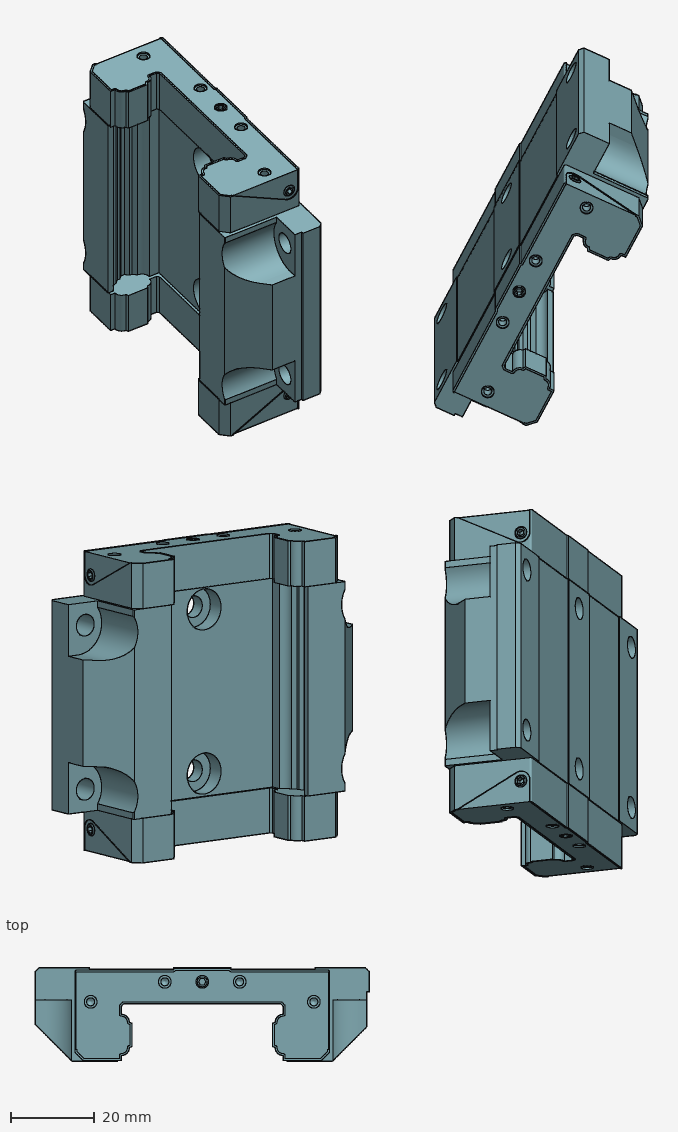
import cadquery as cq
import math

width = 80.0
thickness = 22.5
carriage_length = 51.0
total_length = 73.0

half_width = width / 2
back = thickness / 2
front = -thickness / 2
carriage_end = carriage_length / 2
cap_end = total_length / 2

flank_x = 31.1
right_relief = 0.6
reference_edge_y = 5.4
back_chamfer = 1.0
channel_half_width = 20.2
channel_floor_y = 3.3
back_recess_depth = 0.28
back_recess_inner = 6.9
back_recess_outer = 27.0

raceway_mid_y = -4.6
raceway_radius = 2.1
raceway_opening = 5.1
raceway_slope = 1.0
groove_half_height = 1.4
groove_depth = 0.9

hole_diameter = 5.3
hole_pitch_x = 70.0
hole_pitch_z = 40.0
counterbore_diameter = 10.0
counterbore_depth = 4.4
pocket_floor_y = 3.5
pocket_radius = 7.0
pocket_center_x = 37.2
pocket_wall_x = 31.4

cap_half_width = 30.5
cap_back = 10.7
cap_front = -11.0
cap_foot_chamfer = 2.0
cap_back_fillet = 0.6
ridge_half_width = 6.6
ridge_height = 0.28
cap_floor_y = 2.6
cap_slot_half_width = 19.4
cap_slot_chamfer = 0.6
nose_mid_y = -4.9
nose_radius = 1.9
nose_half_height = 5.0
lip_half_height = 2.8
lip_height = 0.6
face_margin = 0.5
face_depth = 0.1

panel_depth = 0.2
panel_radius = 2.4
panel_tip_y = -8.4

screw_holes = [(-26.7, 3.0), (-9.0, 7.8), (9.0, 7.8), (26.7, 3.0)]
screw_head_diameter = 3.0
screw_head_depth = 0.4
screw_hole_diameter = 1.9
screw_hole_depth = 3.2
drill_point_angle = 118.0

port_y = 7.8
plug_diameter = 3.0
plug_length = 4.0
plug_chamfer = 0.3
socket_across_flats = 1.5
socket_depth = 1.6

port_z = (carriage_end + cap_end) / 2
face_z = cap_end - face_depth


def raceway_half_profile():
    """Section of the recess in the +X channel wall: two quarter-round raceways and a middle groove."""
    wall = channel_half_width
    throat = wall + raceway_radius
    bridge = throat + raceway_slope
    deepest = bridge + groove_depth
    diagonal = raceway_radius * math.sqrt(0.5)
    center = raceway_opening - raceway_radius
    slope_end = center - raceway_slope
    bottom = groove_half_height - groove_depth
    middle = raceway_mid_y
    return (
        cq.Workplane("XY")
        .moveTo(wall, middle + raceway_opening)
        .threePointArc((wall + diagonal, middle + center + diagonal), (throat, middle + center))
        .lineTo(bridge, middle + slope_end)
        .lineTo(bridge, middle + groove_half_height)
        .lineTo(deepest, middle + bottom)
        .lineTo(deepest, middle - bottom)
        .lineTo(bridge, middle - groove_half_height)
        .lineTo(bridge, middle - slope_end)
        .lineTo(throat, middle - center)
        .threePointArc((wall + diagonal, middle - center - diagonal), (wall, middle - raceway_opening))
        .close()
    )


def along_carriage(sketch):
    """Extrude a section drawn at Z = 0 over the whole carriage length."""
    return sketch.extrude(carriage_end, both=True)


def corner_pocket():
    """Cutter for the (+X, +Z) corner pocket, open to the front, side and end."""
    z = hole_pitch_z / 2
    rise = math.sqrt(pocket_radius**2 - (pocket_center_x - pocket_wall_x) ** 2)
    profile = (
        cq.Workplane("XZ", origin=(0, pocket_floor_y, 0))
        .moveTo(half_width, z - pocket_radius)
        .lineTo(pocket_center_x, z - pocket_radius)
        .threePointArc((pocket_center_x - pocket_radius, z), (pocket_wall_x, z + rise))
        .lineTo(pocket_wall_x, carriage_end)
        .lineTo(half_width, carriage_end)
        .close()
    )
    return profile.extrude(pocket_floor_y - front)


def make_carriage():
    """Flanged carriage with the rail channel, raceways and mounting holes."""
    flank_slope = half_width - flank_x
    right_x = half_width - right_relief
    section = (
        cq.Workplane("XY")
        .moveTo(-half_width, front + flank_slope)
        .lineTo(-flank_x, front)
        .lineTo(-channel_half_width, front)
        .lineTo(-channel_half_width, channel_floor_y)
        .lineTo(channel_half_width, channel_floor_y)
        .lineTo(channel_half_width, front)
        .lineTo(flank_x, front)
        .lineTo(right_x, front + flank_slope - right_relief)
        .lineTo(right_x, reference_edge_y)
        .lineTo(half_width, reference_edge_y)
        .lineTo(half_width, back - back_chamfer)
        .lineTo(half_width - back_chamfer, back)
        .lineTo(-half_width + back_chamfer, back)
        .lineTo(-half_width, back - back_chamfer)
        .close()
    )
    carriage = along_carriage(section)

    raceway = along_carriage(raceway_half_profile())
    carriage = carriage.cut(raceway).cut(raceway.mirror("YZ"))

    recess_width = back_recess_outer - back_recess_inner
    recess_x = (back_recess_outer + back_recess_inner) / 2
    recesses = along_carriage(
        cq.Workplane("XY")
        .pushPoints([(-recess_x, back), (recess_x, back)])
        .rect(recess_width, 2 * back_recess_depth)
    )
    carriage = carriage.cut(recesses)

    pocket = corner_pocket()
    for cutter in (pocket, pocket.mirror("YZ")):
        carriage = carriage.cut(cutter).cut(cutter.mirror("XY"))

    hole_points = [
        (column * hole_pitch_x / 2, row * hole_pitch_z / 2)
        for column in (-1, 0, 1)
        for row in (-1, 1)
    ]
    holes = (
        cq.Workplane("XZ", origin=(0, back, 0))
        .pushPoints(hole_points)
        .circle(hole_diameter / 2)
        .extrude(thickness)
    )
    counterbores = (
        cq.Workplane("XZ", origin=(0, channel_floor_y + counterbore_depth, 0))
        .pushPoints([(x, z) for x, z in hole_points if x == 0])
        .circle(counterbore_diameter / 2)
        .extrude(counterbore_depth)
    )
    return carriage.cut(holes).cut(counterbores)


def cap_half_body():
    """The +X half of the upper end cap, with a plain end."""
    slot = cap_slot_half_width
    nose = slot - nose_radius
    lip = nose - lip_height
    center = nose_half_height - nose_radius
    diagonal = nose_radius * math.sqrt(0.5)
    return (
        cq.Workplane("XY", origin=(0, 0, carriage_end))
        .moveTo(0, cap_floor_y)
        .lineTo(slot - cap_slot_chamfer, cap_floor_y)
        .lineTo(slot, cap_floor_y - cap_slot_chamfer)
        .lineTo(slot, nose_mid_y + nose_half_height)
        .threePointArc((slot - diagonal, nose_mid_y + center + diagonal), (nose, nose_mid_y + center))
        .lineTo(lip, nose_mid_y + lip_half_height)
        .lineTo(lip, nose_mid_y - lip_half_height)
        .lineTo(nose, nose_mid_y - center)
        .threePointArc(
            (slot - diagonal, nose_mid_y - center - diagonal),
            (slot, nose_mid_y - nose_half_height),
        )
        .lineTo(slot, cap_front)
        .lineTo(cap_half_width - cap_foot_chamfer, cap_front)
        .lineTo(cap_half_width, cap_front + cap_foot_chamfer)
        .lineTo(cap_half_width, cap_back)
        .lineTo(ridge_half_width + ridge_height, cap_back)
        .lineTo(ridge_half_width, cap_back + ridge_height)
        .lineTo(0, cap_back + ridge_height)
        .close()
        .extrude(cap_end - carriage_end)
        .edges("|Z")
        .edges(">X")
        .edges(">Y")
        .fillet(cap_back_fillet)
    )


def side_panel():
    """Cutter for the shallow panel around the +X port, widening towards the cap end."""
    tip_dy = panel_tip_y - port_y
    tip_dz = cap_end - port_z
    tip_distance = math.hypot(tip_dy, tip_dz)
    tangent_angle = math.atan2(tip_dz, tip_dy) + math.acos(panel_radius / tip_distance)
    mid_angle = (tangent_angle + 2 * math.pi) / 2

    def on_arc(angle):
        return (port_y + panel_radius * math.cos(angle), port_z + panel_radius * math.sin(angle))

    return (
        cq.Workplane("YZ", origin=(cap_half_width - panel_depth, 0, 0))
        .moveTo(panel_tip_y, cap_end)
        .lineTo(*on_arc(tangent_angle))
        .threePointArc(on_arc(mid_angle), on_arc(0))
        .lineTo(port_y + panel_radius, cap_end)
        .close()
        .extrude(panel_depth)
    )


def end_face_recess(cap):
    """Cutter that sinks the end face inside a rim and runs out into both side panels."""
    recess = cap.faces(">Z").wires().toPending().offset2D(-face_margin).extrude(-face_depth, combine=False)
    panel_top = port_y + panel_radius
    strip_x = cap_half_width - face_margin / 2
    runouts = (
        cq.Workplane("XY", origin=(0, (panel_tip_y + panel_top) / 2, face_z))
        .pushPoints([(-strip_x, 0), (strip_x, 0)])
        .rect(face_margin, panel_top - panel_tip_y)
        .extrude(face_depth)
    )
    return recess.union(runouts)


def screw_hole_cutter(x, y):
    """Counterbored blind hole with a drill point, entering the end face downwards."""
    head_radius = screw_head_diameter / 2
    radius = screw_hole_diameter / 2
    point = radius / math.tan(math.radians(drill_point_angle / 2))
    return (
        cq.Workplane("XZ")
        .moveTo(0, 0)
        .lineTo(head_radius, 0)
        .lineTo(head_radius, -screw_head_depth)
        .lineTo(radius, -screw_head_depth)
        .lineTo(radius, -screw_hole_depth)
        .lineTo(0, -screw_hole_depth - point)
        .close()
        .revolve(360, (0, 0, 0), (0, 1, 0))
        .translate((x, y, face_z))
    )


end_port = cq.Plane(origin=(0, port_y, face_z), xDir=(1, 0, 0), normal=(0, 0, 1))
side_ports = [
    cq.Plane(origin=(side * cap_half_width, port_y, port_z), xDir=(0, 0, 1), normal=(side, 0, 0))
    for side in (-1, 1)
]
ports = [end_port, *side_ports]


def port_hole(plane):
    """Cutter for the round hole that a plug fills."""
    return cq.Workplane(plane).circle(plug_diameter / 2).extrude(-plug_length)


def make_plug(plane):
    """Plug with a chamfered rim and a hexagon socket, its face on the given plane."""
    socket_corners = socket_across_flats / math.cos(math.pi / 6)
    socket = cq.Workplane(plane).polygon(6, socket_corners).extrude(-socket_depth)
    plug = cq.Workplane("XY").circle(plug_diameter / 2).extrude(-plug_length)
    plug = plug.faces(">Z").chamfer(plug_chamfer)
    return cq.Workplane(plug.val().moved(cq.Location(plane))).cut(socket)


def make_upper_cap():
    """End cap on the +Z end, with its screw holes and port holes."""
    half = cap_half_body()
    cap = half.union(half.mirror("YZ"))
    cap = cap.cut(end_face_recess(cap))
    panel = side_panel()
    cap = cap.cut(panel).cut(panel.mirror("YZ"))
    for x, y in screw_holes:
        cap = cap.cut(screw_hole_cutter(x, y))
    for plane in ports:
        cap = cap.cut(port_hole(plane))
    return cap


carriage = make_carriage()
upper_cap = make_upper_cap()
upper_plugs = [make_plug(plane) for plane in ports]

upper_bodies = [upper_cap, *upper_plugs]
lower_bodies = [body.mirror("XY") for body in upper_bodies]

result = cq.Compound.makeCompound(
    [body.val() for body in [carriage, *upper_bodies, *lower_bodies]]
)